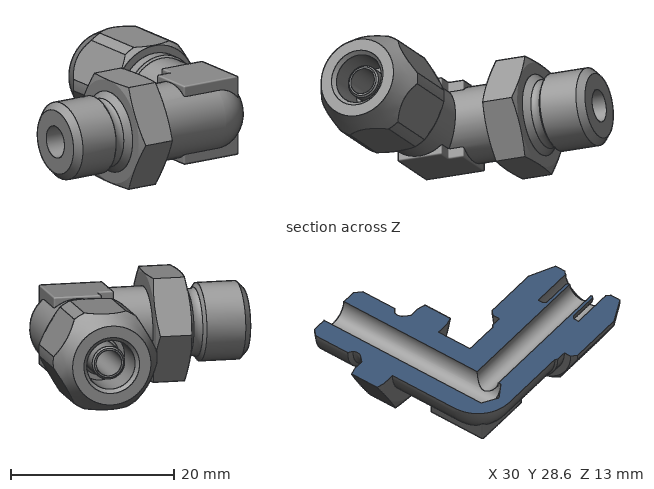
import cadquery as cq
import math


ARM_RADIUS = 4.75
PAD_FAR = 3.0
PAD_NEAR = -5.0
PAD_HALF_HEIGHT = 5.0
PAD_EDGE_RADIUS = 0.2

TUBE_END = -22.5
NUT_BACK = -11.0
COLLAR_END = -9.4
COLLAR_RADIUS = 5.0
COLLAR_CHAMFER = 0.25
NUT_ACROSS_FLATS = 12.0
NUT_CORNER_RADIUS = 6.55
NUT_FACE_RADIUS = 4.93
NUT_NOSE_LENGTH = 3.4
NUT_BACK_RADIUS = 5.95
NUT_BACK_LENGTH = 0.65

SOCKET_RADIUS = 3.05
SOCKET_DEPTH = 6.0
SOCKET_CHAMFER = 0.45
SLEEVE_RADIUS = 2.05
SLEEVE_TIP_DEPTH = 1.5
SLEEVE_TIP_CHAMFER = 0.22
SLEEVE_FOOT_CHAMFER = 0.32
TUBE_BORE_RADIUS = 1.6

THREAD_END = -22.0
HEX_TOP = -9.5
HEX_BOTTOM = -14.0
HEX_ACROSS_FLATS = 13.0
HEX_FACE_RADIUS = 6.45
HEX_CHAMFER_ANGLE = 15.0
UNDERCUT_TOP_RADIUS = 5.05
UNDERCUT_EDGE_RADIUS = 4.27
UNDERCUT_ROOT_RADIUS = 4.12
UNDERCUT_ARC_TOP = HEX_BOTTOM - 0.78
UNDERCUT_ARC_BOTTOM = HEX_BOTTOM - 1.9
THREAD_TOP = HEX_BOTTOM - 2.28
THREAD_RADIUS = 4.83
THREAD_CHAMFER = 0.83
THREAD_BORE_RADIUS = 2.0
THREAD_BORE_END = 2.0
DRILL_POINT_ANGLE = 118.0


def turned_x(points):
    """Solid of revolution about X from (x, radius) points."""
    return cq.Workplane("XY").polyline(points).close().revolve(360, (0, 0, 0), (1, 0, 0))


def turned_y(points):
    """Solid of revolution about Y from (radius, y) points."""
    return cq.Workplane("XY").polyline(points).close().revolve(360, (0, 0, 0), (0, 1, 0))


def corner_diameter(across_flats):
    return across_flats / math.cos(math.radians(30))


def make_elbow():
    tube_arm = turned_x([(NUT_BACK, 0), (NUT_BACK, ARM_RADIUS), (0, ARM_RADIUS), (0, 0)])
    thread_arm = turned_y([(0, HEX_TOP), (ARM_RADIUS, HEX_TOP), (ARM_RADIUS, 0), (0, 0)])
    ball = cq.Workplane("XY").sphere(ARM_RADIUS)
    return tube_arm.union(thread_arm).union(ball)


def make_pads():
    """L-shaped block whose two rounded faces stand proud above and below the elbow."""
    inner = -PAD_FAR
    outline = [
        (PAD_NEAR, PAD_FAR),
        (PAD_FAR, PAD_FAR),
        (PAD_FAR, PAD_NEAR),
        (inner, PAD_NEAR),
        (inner, inner),
        (PAD_NEAR, inner),
    ]
    block = cq.Workplane("XY").polyline(outline).close().extrude(PAD_HALF_HEIGHT, both=True)
    return block.edges().fillet(PAD_EDGE_RADIUS)


def make_collar():
    return turned_x([
        (NUT_BACK, 0),
        (NUT_BACK, COLLAR_RADIUS),
        (COLLAR_END - COLLAR_CHAMFER, COLLAR_RADIUS),
        (COLLAR_END, COLLAR_RADIUS - COLLAR_CHAMFER),
        (COLLAR_END, 0),
    ])


def make_nut():
    """Hexagon with flats facing +Z and -Z, trimmed by a turned envelope."""
    prism = (
        cq.Workplane("YZ", origin=(TUBE_END, 0, 0))
        .polygon(6, corner_diameter(NUT_ACROSS_FLATS))
        .extrude(NUT_BACK - TUBE_END)
    )
    envelope = turned_x([
        (TUBE_END, 0),
        (TUBE_END, NUT_FACE_RADIUS),
        (TUBE_END + NUT_NOSE_LENGTH, NUT_CORNER_RADIUS),
        (NUT_BACK - NUT_BACK_LENGTH, NUT_CORNER_RADIUS),
        (NUT_BACK, NUT_BACK_RADIUS),
        (NUT_BACK, 0),
    ])
    return prism.intersect(envelope)


def make_hexagon():
    """Hexagon with flats facing +Z and -Z and both corner rings chamfered."""
    prism = (
        cq.Workplane("XZ", origin=(0, HEX_TOP, 0))
        .polygon(6, corner_diameter(HEX_ACROSS_FLATS))
        .extrude(HEX_TOP - HEX_BOTTOM)
    )
    corner_radius = corner_diameter(HEX_ACROSS_FLATS) / 2
    drop = (corner_radius - HEX_FACE_RADIUS) * math.tan(math.radians(HEX_CHAMFER_ANGLE))
    envelope = turned_y([
        (0, HEX_TOP),
        (HEX_FACE_RADIUS, HEX_TOP),
        (corner_radius, HEX_TOP - drop),
        (corner_radius, HEX_BOTTOM + drop),
        (HEX_FACE_RADIUS, HEX_BOTTOM),
        (0, HEX_BOTTOM),
    ])
    return prism.intersect(envelope)


def make_thread_stud():
    """Plain thread cylinder with a rounded undercut below the hexagon."""
    arc_middle = (UNDERCUT_ARC_TOP + UNDERCUT_ARC_BOTTOM) / 2
    return (
        cq.Workplane("XY")
        .moveTo(0, HEX_BOTTOM)
        .lineTo(UNDERCUT_TOP_RADIUS, HEX_BOTTOM)
        .lineTo(UNDERCUT_EDGE_RADIUS, UNDERCUT_ARC_TOP)
        .threePointArc((UNDERCUT_ROOT_RADIUS, arc_middle), (UNDERCUT_EDGE_RADIUS, UNDERCUT_ARC_BOTTOM))
        .lineTo(THREAD_RADIUS, THREAD_TOP)
        .lineTo(THREAD_RADIUS, THREAD_END + THREAD_CHAMFER)
        .lineTo(THREAD_RADIUS - THREAD_CHAMFER, THREAD_END)
        .lineTo(0, THREAD_END)
        .close()
        .revolve(360, (0, 0, 0), (0, 1, 0))
    )


def make_socket():
    """Annular space between the nut bore and the support sleeve."""
    floor = TUBE_END + SOCKET_DEPTH
    tip = TUBE_END + SLEEVE_TIP_DEPTH
    return turned_x([
        (TUBE_END, 0),
        (TUBE_END, SOCKET_RADIUS + SOCKET_CHAMFER),
        (TUBE_END + SOCKET_CHAMFER, SOCKET_RADIUS),
        (floor, SOCKET_RADIUS),
        (floor, SLEEVE_RADIUS + SLEEVE_FOOT_CHAMFER),
        (floor - SLEEVE_FOOT_CHAMFER, SLEEVE_RADIUS),
        (tip + SLEEVE_TIP_CHAMFER, SLEEVE_RADIUS),
        (tip, SLEEVE_RADIUS - SLEEVE_TIP_CHAMFER),
        (tip, 0),
    ])


def make_tube_bore():
    """Bore from the sleeve tip to the elbow centre."""
    tip = TUBE_END + SLEEVE_TIP_DEPTH
    return turned_x([
        (tip, 0),
        (tip, TUBE_BORE_RADIUS),
        (0, TUBE_BORE_RADIUS),
        (0, 0),
    ])


def make_thread_bore():
    """Blind bore past the elbow centre, ending in a drill point."""
    point_length = THREAD_BORE_RADIUS / math.tan(math.radians(DRILL_POINT_ANGLE / 2))
    return turned_y([
        (0, THREAD_END),
        (THREAD_BORE_RADIUS, THREAD_END),
        (THREAD_BORE_RADIUS, THREAD_BORE_END),
        (0, THREAD_BORE_END + point_length),
    ])


body = make_elbow().union(make_pads()).union(make_collar()).union(make_nut())
body = body.union(make_hexagon()).union(make_thread_stud())
result = body.cut(make_socket()).cut(make_tube_bore()).cut(make_thread_bore())